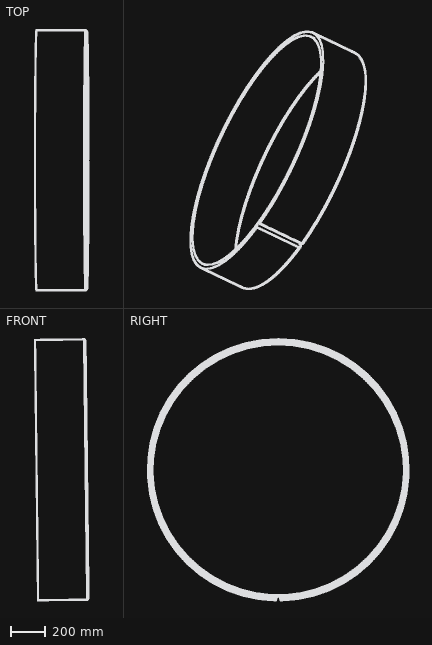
import cadquery as cq
import math

outer_diameter = 1530.0
wall = 26.0
length = 297.0
tilt_angle = 0.68

bevel = 9.0

root_land = 2.3
root_radius = 10.0
flank_angle = math.radians(18)

outer_radius = outer_diameter / 2
inner_radius = outer_radius - wall
root_level = inner_radius + root_land
cut_level = outer_radius + wall
tangent_half_width = root_radius * math.cos(flank_angle)
tangent_level = root_level + root_radius * (1 - math.sin(flank_angle))
cut_half_width = tangent_half_width + (cut_level - tangent_level) * math.tan(flank_angle)


def make_seam_groove():
    """Full U groove running along the bottom of the band."""
    return (
        cq.Workplane("YZ", origin=(-length / 2, 0, 0))
        .moveTo(-cut_half_width, -cut_level)
        .lineTo(-tangent_half_width, -tangent_level)
        .threePointArc((0, -root_level), (tangent_half_width, -tangent_level))
        .lineTo(cut_half_width, -cut_level)
        .close()
        .extrude(length)
    )


def make_ring():
    """Band with its axis along X, revolved from the top, with a double bevel on the +X end."""
    start = -length / 2
    tip = length / 2
    return (
        cq.Workplane("XZ")
        .moveTo(start, inner_radius)
        .lineTo(start, outer_radius)
        .lineTo(tip - bevel, outer_radius)
        .lineTo(tip, outer_radius - bevel)
        .lineTo(tip, inner_radius + bevel)
        .lineTo(tip - bevel, inner_radius)
        .close()
        .revolve(360, (0, 0, 0), (1, 0, 0))
    )


band = make_ring().cut(make_seam_groove())
result = band.rotate((0, 0, 0), (0, 1, 0), -tilt_angle)